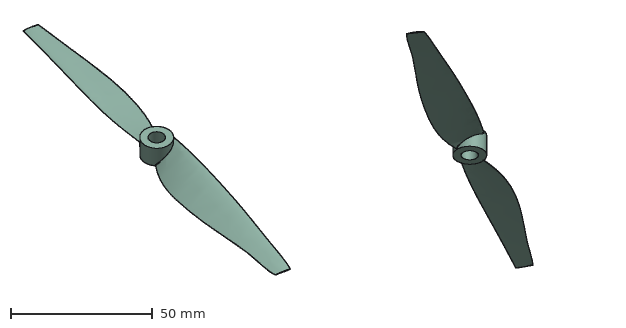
import cadquery as cq
import math

HUB_DIAMETER = 12.0
BORE_DIAMETER = 6.0
HUB_HEIGHT = 8.2

SPAN = 160.0
BLADE_COUNT = 2
THICKNESS_RATIO = 0.07
CAMBER_RATIO = 0.02
TRAILING_THICKNESS = 0.2

STATIONS = [
    (0.0, (5.6, 7.2), (-1.3, 0.5)),
    (6.4, (6.2, 6.9), (-4.3, 0.3)),
    (14.4, (6.9, 6.4), (-6.9, 0.3)),
    (25.6, (7.2, 5.8), (-8.0, 1.1)),
    (38.4, (7.0, 5.3), (-7.4, 2.0)),
    (54.4, (6.4, 4.5), (-5.0, 2.5)),
    (68.8, (5.8, 3.5), (-2.7, 2.5)),
    (SPAN / 2, (5.1, 2.2), (-1.1, 2.4)),
]


def blade_section(radius, leading, trailing):
    """Cambered airfoil outline in the plane X = radius."""
    chord_y = trailing[0] - leading[0]
    chord_z = trailing[1] - leading[1]
    chord = math.hypot(chord_y, chord_z)
    normal_y = chord_z / chord
    normal_z = -chord_y / chord

    def point(fraction, height):
        return cq.Vector(
            radius,
            leading[0] + fraction * chord_y + height * normal_y,
            leading[1] + fraction * chord_z + height * normal_z,
        )

    def surface_point(fraction, side):
        camber = CAMBER_RATIO * chord * 4 * fraction * (1 - fraction)
        peak = math.sqrt(1 / 3) * (2 / 3)
        shape = math.sqrt(fraction) * (1 - fraction) / peak
        thickness = THICKNESS_RATIO * chord * shape + TRAILING_THICKNESS * fraction
        return point(fraction, camber + side * thickness / 2)

    fractions = [0.05, 0.2, 0.45, 0.75, 1.0]
    upper = [surface_point(fraction, 1) for fraction in reversed(fractions)]
    lower = [surface_point(fraction, -1) for fraction in fractions]
    skin = cq.Edge.makeSpline(upper + [point(0, 0)] + lower)
    trailing_face = cq.Edge.makeLine(lower[-1], upper[0])
    return cq.Wire.assembleEdges([skin, trailing_face])


def make_blade():
    sections = [blade_section(*station) for station in STATIONS]
    return cq.Workplane(cq.Solid.makeLoft(sections))


result = cq.Workplane("XY").circle(HUB_DIAMETER / 2).extrude(HUB_HEIGHT)
blade = make_blade()
for index in range(BLADE_COUNT):
    angle = index * 360 / BLADE_COUNT
    result = result.union(blade.rotate((0, 0, 0), (0, 0, 1), angle))

bore = cq.Workplane("XY").circle(BORE_DIAMETER / 2).extrude(HUB_HEIGHT)
result = result.cut(bore)